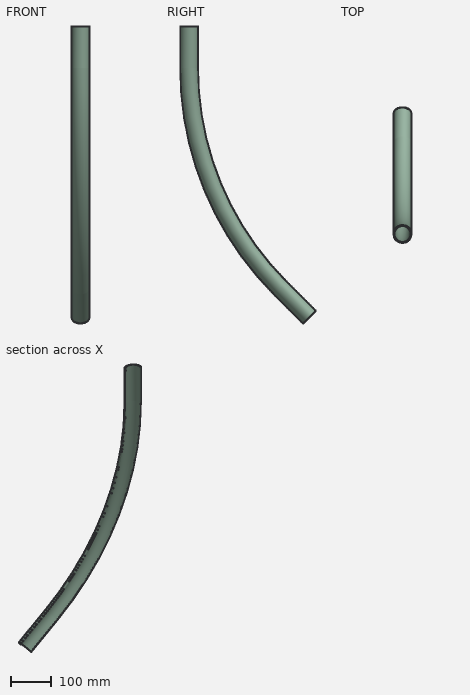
import cadquery as cq
import math

overall_height = 728.0
outer_diameter = 44.5
inner_diameter = 38.5
straight_length = 102.0
bend_angle = 45.0

angle = math.radians(bend_angle)
tilted_end_drop = outer_diameter / 2 * math.sin(angle)
bend_height = overall_height - straight_length * (1 + math.cos(angle)) - tilted_end_drop
bend_radius = bend_height / math.sin(angle)


def point_on_bend(turn):
    """Centreline point (Y, Z) after turning through an angle from the vertical straight."""
    return bend_radius * (1 - math.cos(turn)), -bend_radius * math.sin(turn)


bend_end = point_on_bend(angle)
lower_end = (
    bend_end[0] + straight_length * math.sin(angle),
    bend_end[1] - straight_length * math.cos(angle),
)
centreline = (
    cq.Workplane("YZ")
    .moveTo(0, straight_length)
    .lineTo(0, 0)
    .threePointArc(point_on_bend(angle / 2), bend_end)
    .lineTo(*lower_end)
)

result = (
    cq.Workplane("XY", origin=(0, 0, straight_length))
    .circle(outer_diameter / 2)
    .circle(inner_diameter / 2)
    .sweep(centreline)
)